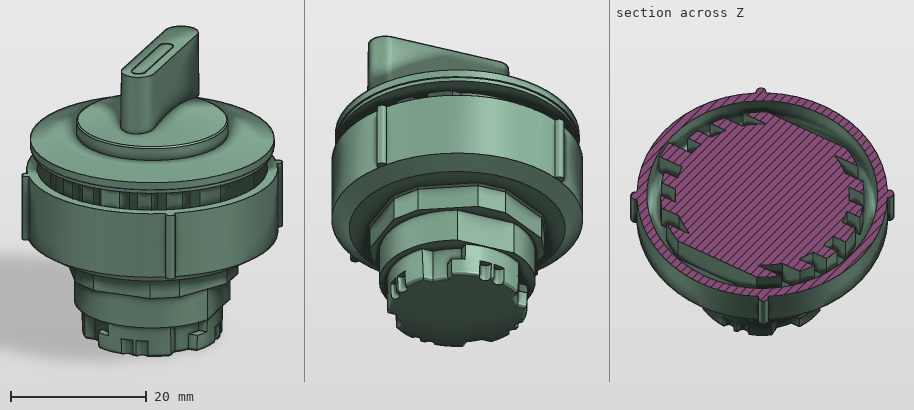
import cadquery as cq
import math

LEDGE_Z = 2.6
SOCKET_TOP = 5.15
BODY_TOP = 10.35
NUT_TOP = 13.95
RING_BOTTOM = 14.3
RING_CONE_TOP = 15.9
RING_FLOOR = 17.3
RING_TOP = 25.95
BEZEL_BOTTOM = 28.9
BEZEL_LIP_TOP = 29.5
BEZEL_RIM_TOP = 30.65
BEZEL_TOP = 31.52
KNOB_SIDE_TOP = 33.4
KNOB_EDGE_TOP = 33.65
DOME_TOP = 35.25
HANDLE_BOTTOM = 33.55
HANDLE_TOP = 43.3

SOCKET_TOP_RADIUS = 10.45
SOCKET_BOTTOM_RADIUS = 10.25
SOCKET_CORE_RADIUS = 9.1
SOCKET_FILLET = 0.5
RECESS_WALL_Y = -6.25
RECESS_LOWER_X = -4.9
RECESS_UPPER_X = -3.05
GROOVE_RADIUS = 0.9
GROOVE_AZIMUTHS = (0.5, 13.3)

BODY_RADIUS = 23.0 / 2
BODY_FLAT_X = 10.55
NUT_FLAT_Y = 12.12
NUT_FLAT_X = 12.75
NUT_FLARE = 0.25

RING_RADIUS = 37.0 / 2
RING_BORE_RADIUS = 34.0 / 2
RING_BOTTOM_RADIUS = 15.95
RING_FLOOR_FILLET = 1.75
BUMP_RADIUS = 0.75
BUMP_CENTER_RADIUS = 18.65
BUMP_START_ANGLE = 30

NECK_RADIUS = 15.03
NECK_CORE_RADIUS = 12.85
NECK_FLAT_X = 13.45
SLOT_WIDTH = 2.0
SLOT_PITCH = 4.0
SLOTS_PER_SIDE = 3
FIRST_SLOT_X = 2.45
TAB_LENGTH = 16.65
WING_TOP_RADIUS = 29 / 2
WING_LOWER_RADIUS = 13.75

BEZEL_LIP_RADIUS = 35.5 / 2
BEZEL_RADIUS = 36.0 / 2
BEZEL_FLAT_RADIUS = 13.55
KNOB_RADIUS = 11.15
DOME_RADIUS = 11.0

HANDLE_HALF_WIDTH = 2.5
HANDLE_FRONT_Y = -8.05
HANDLE_BACK_Y = 14.07
HANDLE_DRAFT = 0.7
MARKER_WIDTH = 2.12
MARKER_FRONT_Y = -6.5
MARKER_BACK_Y = 6.6
MARKER_DEPTH = 0.1

BIG = 43.3
SELECT_MARGIN = 0.05


def disc(radius, bottom, top):
    return cq.Workplane("XY", origin=(0, 0, bottom)).circle(radius).extrude(top - bottom)


def block(x_range, y_range, z_range):
    """Box between the given limits along each axis."""
    spans = (x_range, y_range, z_range)
    sizes = [high - low for low, high in spans]
    lows = tuple(low for low, high in spans)
    return cq.Workplane("XY").box(*sizes, centered=False).translate(lows)


def quarter_turns(shape):
    """The shape repeated at four quarter turns about the Z axis."""
    group = shape
    for turn in range(1, 4):
        group = group.union(shape.rotate((0, 0, 0), (0, 0, 1), 90 * turn))
    return group


def revolved(points):
    return cq.Workplane("XZ").polyline(points).close().revolve(360, (0, 0, 0), (0, 1, 0))


def make_socket():
    socket = revolved([
        (0, 0),
        (SOCKET_BOTTOM_RADIUS, 0),
        (SOCKET_TOP_RADIUS, SOCKET_TOP),
        (0, SOCKET_TOP),
    ])
    mouth = block((-BIG, RECESS_LOWER_X), (-BIG, RECESS_WALL_Y), (0, LEDGE_Z))
    branch = block((-BIG, RECESS_UPPER_X), (-BIG, RECESS_WALL_Y), (LEDGE_Z, SOCKET_TOP))
    core = disc(SOCKET_CORE_RADIUS, 0, SOCKET_TOP)
    socket = socket.cut(quarter_turns(mouth.union(branch).cut(core)))
    socket = socket.faces("<Z").edges().fillet(SOCKET_FILLET)
    for azimuth in GROOVE_AZIMUTHS:
        groove = disc(GROOVE_RADIUS, 0, LEDGE_Z).translate((0, -SOCKET_BOTTOM_RADIUS, 0))
        socket = socket.cut(quarter_turns(groove.rotate((0, 0, 0), (0, 0, 1), azimuth)))
    return socket


def make_body():
    flats = block((-BODY_FLAT_X, BODY_FLAT_X), (-BIG, BIG), (SOCKET_TOP, BODY_TOP))
    return disc(BODY_RADIUS, SOCKET_TOP, BODY_TOP).intersect(flats)


def hexagon(apothem, first_corner):
    """Corner points of a regular hexagon, starting at an angle in degrees."""
    corner_radius = apothem / math.cos(math.radians(30))
    angles = [math.radians(first_corner + 60 * i) for i in range(6)]
    return [(corner_radius * math.cos(a), corner_radius * math.sin(a)) for a in angles]


def make_nut():
    """Hexagon with its corners cut by a second hexagon, flared where it meets the ring."""
    nut = None
    flare_height = RING_BOTTOM - NUT_TOP
    flare_angle = math.degrees(math.atan2(NUT_FLARE, flare_height))
    for apothem, first_corner in ((NUT_FLAT_Y, 0), (NUT_FLAT_X, 30)):
        corners = hexagon(apothem, first_corner)
        prism = (
            cq.Workplane("XY", origin=(0, 0, BODY_TOP))
            .polyline(corners).close()
            .extrude(NUT_TOP - BODY_TOP)
        )
        flare = (
            cq.Workplane("XY", origin=(0, 0, NUT_TOP))
            .polyline(corners).close()
            .extrude(flare_height, taper=-flare_angle)
        )
        prism = prism.union(flare)
        nut = prism if nut is None else nut.intersect(prism)
    return nut


def make_ring():
    ring = revolved([
        (0, RING_BOTTOM),
        (RING_BOTTOM_RADIUS, RING_BOTTOM),
        (RING_RADIUS, RING_CONE_TOP),
        (RING_RADIUS, RING_TOP),
        (RING_BORE_RADIUS, RING_TOP),
        (RING_BORE_RADIUS, RING_FLOOR),
        (0, RING_FLOOR),
    ])
    at_floor_level = cq.selectors.BoxSelector(
        (-BIG, -BIG, RING_FLOOR - SELECT_MARGIN), (BIG, BIG, RING_FLOOR + SELECT_MARGIN)
    )
    ring = ring.edges(at_floor_level).fillet(RING_FLOOR_FILLET)
    bumps = (
        cq.Workplane("XY", origin=(0, 0, RING_CONE_TOP))
        .polarArray(BUMP_CENTER_RADIUS, BUMP_START_ANGLE, 360, 4)
        .circle(BUMP_RADIUS)
        .extrude(RING_TOP - RING_CONE_TOP)
        .cut(disc(RING_BORE_RADIUS, RING_CONE_TOP, RING_TOP))
    )
    return ring.union(bumps)


def make_neck():
    height = (RING_FLOOR, BEZEL_BOTTOM)
    neck = disc(NECK_RADIUS, *height)
    neck = neck.intersect(block((-NECK_FLAT_X, NECK_FLAT_X), (-BIG, BIG), height))
    core = disc(NECK_CORE_RADIUS, *height)
    for index in range(SLOTS_PER_SIDE):
        for side in (-1, 1):
            middle = side * (FIRST_SLOT_X + index * SLOT_PITCH)
            slot = block((middle - SLOT_WIDTH / 2, middle + SLOT_WIDTH / 2), (-BIG, BIG), height)
            neck = neck.cut(slot.cut(core))
    tab_half_width = FIRST_SLOT_X - SLOT_WIDTH / 2
    tab = block((-tab_half_width, tab_half_width), (-TAB_LENGTH, 0), height)
    return neck.union(tab).union(make_wings())


def make_wings():
    """Conical segments standing out from the flat sides of the neck."""
    slope = (WING_TOP_RADIUS - WING_LOWER_RADIUS) / (BEZEL_BOTTOM - RING_TOP)
    wing_bottom = RING_TOP - (WING_LOWER_RADIUS - NECK_FLAT_X) / slope
    cone = revolved([
        (0, wing_bottom),
        (NECK_FLAT_X, wing_bottom),
        (WING_TOP_RADIUS, BEZEL_BOTTOM),
        (0, BEZEL_BOTTOM),
    ])
    return cone.cut(block((-NECK_FLAT_X, NECK_FLAT_X), (-BIG, BIG), (wing_bottom, BEZEL_BOTTOM)))


def make_bezel_and_knob():
    dome_rise = DOME_TOP - KNOB_EDGE_TOP
    sphere_radius = (DOME_RADIUS**2 + dome_rise**2) / (2 * dome_rise)
    half_angle = math.asin(DOME_RADIUS / sphere_radius) / 2
    dome_middle = (
        sphere_radius * math.sin(half_angle),
        DOME_TOP - sphere_radius * (1 - math.cos(half_angle)),
    )
    return (
        cq.Workplane("XZ")
        .moveTo(0, BEZEL_BOTTOM)
        .lineTo(BEZEL_LIP_RADIUS, BEZEL_BOTTOM)
        .lineTo(BEZEL_LIP_RADIUS, BEZEL_LIP_TOP)
        .lineTo(BEZEL_RADIUS, BEZEL_LIP_TOP)
        .lineTo(BEZEL_RADIUS, BEZEL_RIM_TOP)
        .lineTo(BEZEL_FLAT_RADIUS, BEZEL_TOP)
        .lineTo(KNOB_RADIUS, BEZEL_TOP)
        .lineTo(KNOB_RADIUS, KNOB_SIDE_TOP)
        .lineTo(DOME_RADIUS, KNOB_EDGE_TOP)
        .threePointArc(dome_middle, (0, DOME_TOP))
        .close()
        .revolve(360, (0, 0, 0), (0, 1, 0))
    )


def rounded_bar(front_y, back_y, width, top, depth, taper=0):
    """Round-ended bar along Y, extruded down from the given top level."""
    return (
        cq.Workplane("XY", origin=(0, (front_y + back_y) / 2, top))
        .slot2D(back_y - front_y, width, 90)
        .extrude(-depth, taper=taper)
    )


def make_handle():
    height = HANDLE_TOP - HANDLE_BOTTOM
    return rounded_bar(
        HANDLE_FRONT_Y, HANDLE_BACK_Y, 2 * HANDLE_HALF_WIDTH, HANDLE_TOP, height, -HANDLE_DRAFT
    )


result = make_socket()
for section in (make_body(), make_nut(), make_ring(), make_neck(), make_bezel_and_knob(), make_handle()):
    result = result.union(section)
marker = rounded_bar(MARKER_FRONT_Y, MARKER_BACK_Y, MARKER_WIDTH, HANDLE_TOP, MARKER_DEPTH)
result = result.cut(marker)